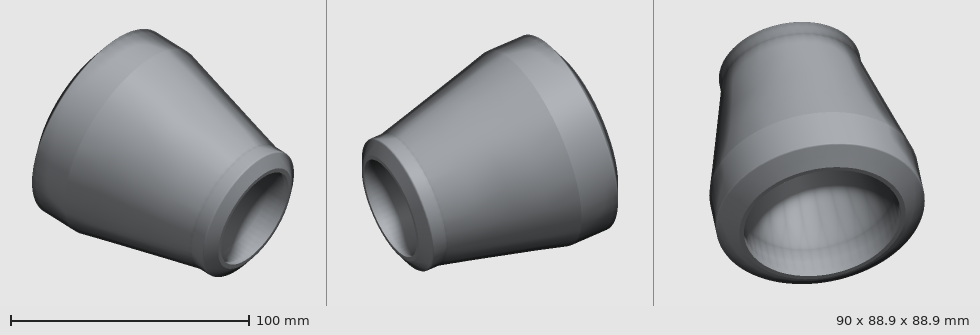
import cadquery as cq
import math

length = 90.0
large_outer_diameter = 88.9
large_bore_diameter = 66.9
small_outer_diameter = 60.3
small_bore_diameter = 44.3

large_collar_length = 22.95
small_collar_length = 10.0
large_bore_length = 14.9

bevel_angle = math.radians(30)
root_face = 2.0
edge_radius = 1.0

large_outer_radius = large_outer_diameter / 2
large_bore_radius = large_bore_diameter / 2
small_outer_radius = small_outer_diameter / 2
small_bore_radius = small_bore_diameter / 2
large_face_radius = large_bore_radius + root_face
small_face_radius = small_bore_radius + root_face
large_bevel_length = (large_outer_radius - large_face_radius) * math.tan(bevel_angle)
small_bevel_length = (small_outer_radius - small_face_radius) * math.tan(bevel_angle)
cone_start = large_collar_length
cone_end = length - small_collar_length


def revolve_about_x(points):
    """Turn a closed half section, given as (X, radius) points, about X."""
    return cq.Workplane("XY").polyline(points).close().revolve(360, (0, 0, 0), (1, 0, 0))


def outer_body():
    """Solid outside shape with rounded bevel edges."""
    body = revolve_about_x([
        (0, 0),
        (0, large_face_radius),
        (large_bevel_length, large_outer_radius),
        (cone_start, large_outer_radius),
        (cone_end, small_outer_radius),
        (length - small_bevel_length, small_outer_radius),
        (length, small_face_radius),
        (length, 0),
    ])
    for bevel_edge in (large_bevel_length, length - small_bevel_length):
        edge = cq.selectors.BoxSelector(
            (bevel_edge - 0.1, -length, -length),
            (bevel_edge + 0.1, length, length),
        )
        body = body.edges("%CIRCLE").edges(edge).fillet(edge_radius)
    return body


def bore():
    """Tapered passage with a straight stretch at each end."""
    return revolve_about_x([
        (0, 0),
        (0, large_bore_radius),
        (large_bore_length, large_bore_radius),
        (cone_end, small_bore_radius),
        (length, small_bore_radius),
        (length, 0),
    ])


result = outer_body().cut(bore())